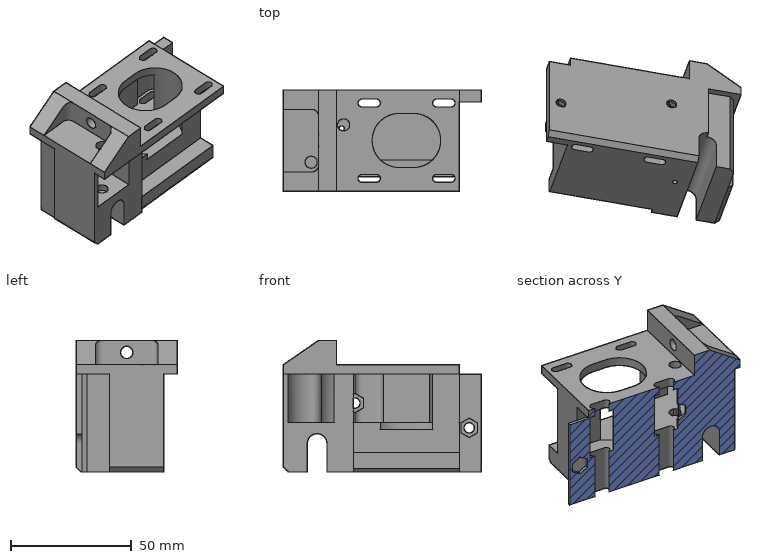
import cadquery as cq
import math

total_length = 82.0
plate_length = 73.0
plate_width = 42.0
split_level = 20.5
body_height = 40.5
plate_top = 44.45
total_height = 54.5

left_front = 5.65
left_length = 29.0
left_step_depth = 2.05
left_step_y = 28.1
rear_corner_chamfer = 2.05
rear_corner_y = 39.5
body_front = 12.95
back_wall_front = 37.0
back_wall_rear = 42.0
back_wall_start = 13.9
edge_chamfer = 2.05

rail_front = 6.0
rail_height = 8.1
rail_chamfer = 1.5

slot_center_x = 14.0
slot_width = 8.0
slot_top = 15.8

front_gear_radius = 9.5
rear_gear_radius = 10.0
neck_left = 15.9
neck_rear = 30.3
neck_corner_radius = 3.2
post_rear = 14.6
front_gear = (11.6, 12.05)
rear_gear = (25.0, 27.55)
axle_diameter = 5.0
axle_depth = 3.0
floor_hole_diameter = 2.0
floor_hole_center = (24.3, 26.1)

motor_center = (51.0, 21.1)
motor_shift = 6.0
motor_diameter = 22.4
motor_floor = 17.55
motor_support_depth = 16.1

mount_slot_x = (35.6, 66.5)
front_slot_y = 5.4
rear_slot_y = 36.6
mount_slot_shift = 6.0
mount_slot_width = 3.2
mount_clearance_width = 6.0

nut_centers = ((29.7, 28.5), (77.0, 18.3))
nut_across_flats = 7.0
nut_floor_y = 40.75
bolt_diameter = 4.2

wedge_crest_start = 14.7
wedge_length = 22.1
wedge_pocket_width = 26.0
wedge_pocket_radius = 3.0
wedge_hole_diameter = 5.0
wedge_hole_z = 49.5


def box(x_range, y_range, z_range):
    """Box between the given pairs of limits."""
    size = [high - low for low, high in (x_range, y_range, z_range)]
    corner = (x_range[0], y_range[0], z_range[0])
    return cq.Workplane("XY").box(*size, centered=False).translate(corner)


def vertical_cylinder(center, diameter, bottom, top):
    """Round column along Z."""
    return (
        cq.Workplane("XY", origin=(*center, bottom))
        .circle(diameter / 2)
        .extrude(top - bottom)
    )


def vertical_slot(center, shift, width, bottom, top):
    """Round-ended column along Z whose length lies along X."""
    return (
        cq.Workplane("XY", origin=(*center, bottom))
        .slot2D(shift + width, width)
        .extrude(top - bottom)
    )


def make_body():
    """Full-height body and back wall, before the inner spaces are cut."""
    outline = [
        (0, left_front),
        (left_length, left_front),
        (left_length, body_front),
        (plate_length, body_front),
        (plate_length, back_wall_front),
        (total_length, back_wall_front),
        (total_length, back_wall_rear),
        (back_wall_start, back_wall_rear),
        (back_wall_start, rear_corner_y),
        (left_step_depth + rear_corner_chamfer, rear_corner_y),
        (left_step_depth, rear_corner_y - rear_corner_chamfer),
        (left_step_depth, left_step_y),
        (0, left_step_y),
    ]
    body = cq.Workplane("XY").polyline(outline).close().extrude(body_height)
    left_edge = (
        cq.Workplane("XZ")
        .polyline([(0, 0), (edge_chamfer, 0), (0, edge_chamfer)])
        .close()
        .extrude(-plate_width)
    )
    rear_edge = (
        cq.Workplane("YZ")
        .polyline([
            (back_wall_rear, 0),
            (back_wall_rear - edge_chamfer, 0),
            (back_wall_rear, edge_chamfer),
        ])
        .close()
        .extrude(total_length)
    )
    return body.cut(left_edge).cut(rear_edge)


def make_rail():
    """Ledge along the foot of the motor body, chamfered underneath."""
    return (
        cq.Workplane("YZ", origin=(left_length, 0, 0))
        .polyline([
            (rail_front + rail_chamfer, 0),
            (body_front, 0),
            (body_front, rail_height),
            (rail_front, rail_height),
            (rail_front, rail_chamfer),
        ])
        .close()
        .extrude(plate_length - left_length)
    )


def make_block_slot():
    """Arched slot through the gear block, open at the bottom."""
    radius = slot_width / 2
    return (
        cq.Workplane("XZ")
        .moveTo(slot_center_x - radius, 0)
        .lineTo(slot_center_x - radius, slot_top - radius)
        .threePointArc((slot_center_x, slot_top), (slot_center_x + radius, slot_top - radius))
        .lineTo(slot_center_x + radius, 0)
        .close()
        .extrude(-plate_width)
    )


def make_gear_space():
    """Front gear pocket, open at the front, blending into the larger rear gear pocket."""
    center_x, center_y = front_gear
    pocket_left = center_x - front_gear_radius
    pocket_right = center_x + front_gear_radius

    corner_x = neck_left - neck_corner_radius
    reach = front_gear_radius + neck_corner_radius
    lean = math.asin((corner_x - center_x) / reach)
    corner_y = center_y + reach * math.cos(lean)
    tangent = (
        center_x + front_gear_radius * math.sin(lean),
        center_y + front_gear_radius * math.cos(lean),
    )
    pocket_middle_angle = (math.pi / 2 - lean + math.pi) / 2
    pocket_middle = (
        center_x + front_gear_radius * math.cos(pocket_middle_angle),
        center_y + front_gear_radius * math.sin(pocket_middle_angle),
    )
    corner_middle_angle = -(math.pi / 2 + lean) / 2
    corner_middle = (
        corner_x + neck_corner_radius * math.cos(corner_middle_angle),
        corner_y + neck_corner_radius * math.sin(corner_middle_angle),
    )
    space = (
        cq.Workplane("XY", origin=(0, 0, split_level))
        .moveTo(pocket_left, 0)
        .lineTo(pocket_left, center_y)
        .threePointArc(pocket_middle, tangent)
        .threePointArc(corner_middle, (neck_left, corner_y))
        .lineTo(neck_left, neck_rear)
        .lineTo(left_length, rear_gear[1])
        .lineTo(left_length, post_rear)
        .lineTo(pocket_right, post_rear)
        .lineTo(pocket_right, 0)
        .close()
        .extrude(body_height - split_level)
    )
    return space.union(
        vertical_cylinder(rear_gear, 2 * rear_gear_radius, split_level, body_height)
    )


def make_motor_space():
    """Open space above the motor floor, leaving a support block at the right."""
    space = box(
        (left_length, plate_length), (body_front, back_wall_front), (split_level, body_height)
    )
    support = box(
        (motor_center[0], plate_length),
        (body_front, body_front + motor_support_depth),
        (split_level, body_height),
    )
    return space.cut(support)


def make_nut_trap(center):
    """Bolt hole through the back wall with a hexagonal pocket from the front."""
    plane = cq.Workplane("XZ", origin=(center[0], back_wall_front, center[1]))
    corner_diameter = nut_across_flats / math.cos(math.pi / 6)
    pocket = (
        plane.transformed(rotate=(0, 0, 90))
        .polygon(6, corner_diameter)
        .extrude(back_wall_front - nut_floor_y)
    )
    bolt = plane.circle(bolt_diameter / 2).extrude(back_wall_front - back_wall_rear)
    return pocket.union(bolt)


def make_wedge():
    """Sloped stop on the plate with a rounded pocket and a cross hole."""
    wedge = (
        cq.Workplane("XZ")
        .polyline([
            (0, plate_top),
            (wedge_length, plate_top),
            (wedge_length, total_height),
            (wedge_crest_start, total_height),
        ])
        .close()
        .extrude(-plate_width)
    )
    pocket = (
        box(
            (0, wedge_crest_start),
            ((plate_width - wedge_pocket_width) / 2, (plate_width + wedge_pocket_width) / 2),
            (plate_top, total_height),
        )
        .edges("|Z and >X")
        .fillet(wedge_pocket_radius)
    )
    hole = (
        cq.Workplane("YZ", origin=(0, plate_width / 2, wedge_hole_z))
        .circle(wedge_hole_diameter / 2)
        .extrude(wedge_length)
    )
    return wedge.cut(pocket).cut(hole)


result = make_body().union(make_rail())
result = result.cut(make_block_slot())
result = result.cut(make_gear_space())
result = result.cut(make_motor_space())
for nut_center in nut_centers:
    result = result.cut(make_nut_trap(nut_center))

plate = box((0, plate_length), (0, plate_width), (body_height, plate_top))
result = result.union(plate).union(make_wedge())

result = result.cut(
    vertical_slot(motor_center, motor_shift, motor_diameter, motor_floor, plate_top)
)

for slot_x in mount_slot_x:
    for slot_y, width, bottom, top in (
        (front_slot_y, mount_slot_width, body_height, plate_top),
        (rear_slot_y, mount_slot_width, 0, plate_top),
        (rear_slot_y, mount_clearance_width, split_level, body_height),
    ):
        result = result.cut(vertical_slot((slot_x, slot_y), mount_slot_shift, width, bottom, top))

for gear_center in (front_gear, rear_gear):
    result = result.cut(
        vertical_cylinder(gear_center, axle_diameter, split_level - axle_depth, plate_top)
    )

result = result.cut(vertical_cylinder(floor_hole_center, floor_hole_diameter, 0, split_level))